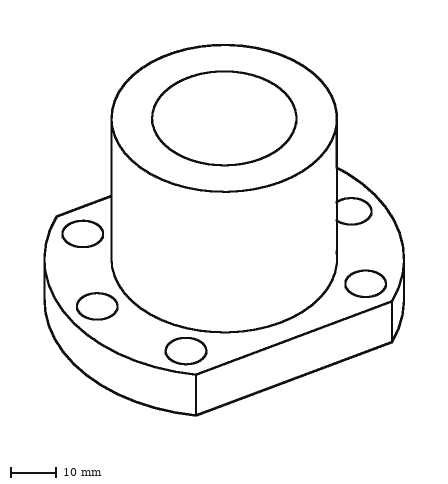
import cadquery as cq

flange_diameter = 79.75
flange_width = 62.0
flange_thickness = 12.0

body_diameter = 50.0
bore_diameter = 32.0
total_height = 53.0

hole_diameter = 9.0
bolt_circle_radius = 32.45
hole_spacing_angle = 45.0
holes_per_side = 3


def make_flange():
    disc = cq.Workplane("XY").circle(flange_diameter / 2).extrude(flange_thickness)
    flats = cq.Workplane("XY").rect(flange_width, flange_diameter).extrude(flange_thickness)
    return disc.intersect(flats)


def make_body():
    return cq.Workplane("XY").circle(body_diameter / 2).extrude(total_height)


def make_bore():
    return cq.Workplane("XY").circle(bore_diameter / 2).extrude(total_height)


def make_mounting_holes(side_angle):
    """Row of through holes centred on the given direction from the part axis."""
    span = hole_spacing_angle * (holes_per_side - 1)
    return (
        cq.Workplane("XY")
        .polarArray(bolt_circle_radius, side_angle - span / 2, hole_spacing_angle, holes_per_side, fill=False)
        .circle(hole_diameter / 2)
        .extrude(flange_thickness)
    )


result = make_flange().union(make_body()).cut(make_bore())
for side_angle in (90, 270):
    result = result.cut(make_mounting_holes(side_angle))